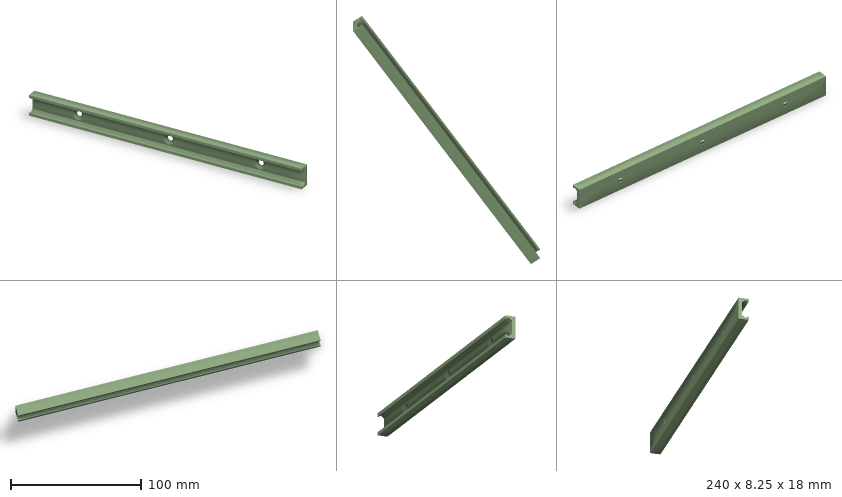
import cadquery as cq
import math

length = 240.0
depth = 8.25
height = 18.0

web_thickness = 2.75
flange_thickness = 1.75
lip_thickness = 1.0
lip_drop = 2.85
lip_outer_radius = 0.75
lip_inner_radius = 0.2
slope_drop = 3.55
slope_angle = 55.0
slope_radius = 0.5

hole_count = 3
hole_pitch = length / hole_count
hole_diameter = 4.5
countersink_diameter = 9.1
countersink_angle = 90.0

web_face_y = depth - web_thickness
half_height = height / 2


def make_channel():
    """C-shaped section, drawn as its upper half and mirrored across Z = 0."""
    flange_inner_z = half_height - flange_thickness
    lip_tip_z = half_height - lip_drop
    slope_foot_z = half_height - slope_drop
    angle = math.radians(slope_angle)
    slope_run = (slope_drop - flange_thickness) * math.tan(angle)
    tangent_length = slope_radius * math.tan(angle / 2)
    blend_start = (
        web_face_y - tangent_length * math.sin(angle),
        slope_foot_z + tangent_length * math.cos(angle),
    )
    blend_end = (web_face_y, slope_foot_z - tangent_length)
    upper_half = (
        cq.Workplane("YZ", origin=(-length / 2, 0, 0))
        .moveTo(depth, 0)
        .lineTo(depth, half_height)
        .lineTo(0, half_height)
        .lineTo(0, lip_tip_z + lip_outer_radius)
        .radiusArc((lip_outer_radius, lip_tip_z), -lip_outer_radius)
        .lineTo(lip_thickness - lip_inner_radius, lip_tip_z)
        .radiusArc((lip_thickness, lip_tip_z + lip_inner_radius), -lip_inner_radius)
        .lineTo(lip_thickness, flange_inner_z)
        .lineTo(web_face_y - slope_run, flange_inner_z)
        .lineTo(*blend_start)
        .radiusArc(blend_end, slope_radius)
        .lineTo(web_face_y, 0)
    )
    return upper_half.mirrorX().extrude(length)


def drill_mounting_holes(channel):
    """Row of holes through the web, countersunk from inside the channel."""
    return (
        channel.copyWorkplane(cq.Workplane("XZ", origin=(0, web_face_y, 0)))
        .rarray(hole_pitch, 1, hole_count, 1)
        .cskHole(hole_diameter, countersink_diameter, countersink_angle)
    )


result = drill_mounting_holes(make_channel())